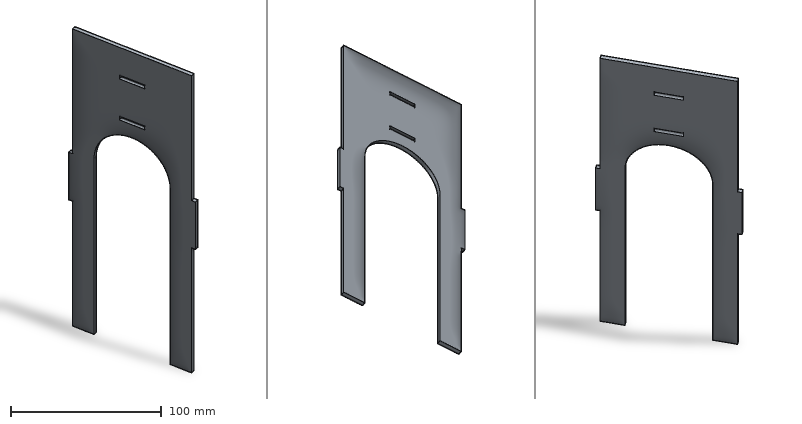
import cadquery as cq

height = 250.0
thickness = 3.0
body_width = 94.0

tab_height = 40.0
tab_projection = thickness

opening_width = 60.0
arch_radius = opening_width / 2
arch_top = 178.0
arch_spring = arch_top - arch_radius

slot_length = 20.0
slot_height = thickness
slot_levels = (190.5, 225.0)


def box(width, box_height, center_z):
    """Box through the full plate thickness, centred on X and Y."""
    return cq.Workplane("XY").box(width, thickness, box_height).translate((0, 0, center_z))


def arched_opening():
    """Straight-sided opening closed at the top by a semicircle."""
    return (
        cq.Workplane("XZ")
        .moveTo(-arch_radius, 0)
        .lineTo(-arch_radius, arch_spring)
        .threePointArc((0, arch_top), (arch_radius, arch_spring))
        .lineTo(arch_radius, 0)
        .close()
        .extrude(thickness / 2, both=True)
    )


plate = box(body_width, height, height / 2)
tabs = box(body_width + 2 * tab_projection, tab_height, height / 2)

result = plate.union(tabs).cut(arched_opening())
for level in slot_levels:
    result = result.cut(box(slot_length, slot_height, level))